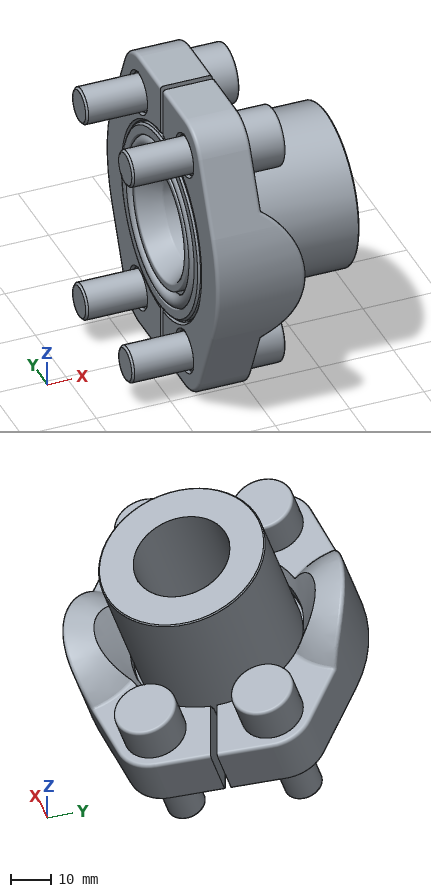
import cadquery as cq
import math


bolt_y = 15.1
bolt_z = 29.4

plate_thickness = 14.0
half_height = 40.0
half_width = 36.5
corner_radius = half_height - bolt_z
clamp_fillet = 1.0
split_gap = 1.7
dome_radius = 24.0
hole_diameter = 10.5
hole_chamfer = 0.6

pipe_diameter = 43.0
pipe_bore_diameter = 25.0
collar_diameter = 50.8
collar_front = -0.5
collar_back = 7.4
collar_chamfer = 0.6
collar_root_fillet = 0.8
pipe_end = 44.5
pipe_end_chamfer = 0.3
mouth_depth = 6.0
mouth_half_angle = 30.0
mouth_fillet = 0.6
bore_fillet = 0.8

seal_outer_diameter = 44.7
seal_section = 3.5
seal_protrusion = 0.5
groove_inner_diameter = 35.8
groove_edge_fillet = 0.2

pocket_diameter = 51.6
pocket_chamfer = 0.6
clamp_bore_diameter = 44.8
flare_angle = 27.5
flare_start = 10.8

shank_diameter = 9.8
shank_tip = -16.0
shank_chamfer = 0.6
head_diameter = 16.0
head_height = 10.0
head_fillet = 0.8


def disc(diameter, start, end):
    """Cylinder about the X axis between two X positions."""
    return cq.Workplane("YZ", origin=(start, 0, 0)).circle(diameter / 2).extrude(end - start)


def revolved(profile):
    """Turn a closed profile, drawn with X along the axis and Y as radius, about the X axis."""
    return profile.close().revolve(360, (0, 0, 0), (1, 0, 0))


def at_bolt_places(body):
    """Copies of a body at the four bolt positions."""
    return [body.translate((0, y, z)) for y in (-bolt_y, bolt_y) for z in (-bolt_z, bolt_z)]


def clamp_prism(depth):
    """Clamp outline extruded from the front face: side arcs joined to the corner arcs by tangent lines."""
    bolt_distance = math.hypot(bolt_y, bolt_z)
    normal = math.atan2(bolt_z, bolt_y) - math.acos((half_width - corner_radius) / bolt_distance)
    side_y = half_width * math.cos(normal)
    side_z = half_width * math.sin(normal)
    corner_y = bolt_y + corner_radius * math.cos(normal)
    corner_z = bolt_z + corner_radius * math.sin(normal)
    return (
        cq.Workplane("YZ")
        .moveTo(side_y, -side_z)
        .threePointArc((half_width, 0), (side_y, side_z))
        .lineTo(corner_y, corner_z)
        .radiusArc((bolt_y, half_height), -corner_radius)
        .lineTo(-bolt_y, half_height)
        .radiusArc((-corner_y, corner_z), -corner_radius)
        .lineTo(-side_y, side_z)
        .threePointArc((-half_width, 0), (-side_y, -side_z))
        .lineTo(-corner_y, -corner_z)
        .radiusArc((-bolt_y, -half_height), -corner_radius)
        .lineTo(bolt_y, -half_height)
        .radiusArc((corner_y, -corner_z), -corner_radius)
        .close()
        .extrude(depth)
    )


def domed_blank():
    """Plate with a spherical dome at each side, its edges and the dome roots rounded."""
    domes = cq.Workplane("XY").pushPoints([(0, half_width), (0, -half_width)]).sphere(dome_radius)
    domes = clamp_prism(dome_radius).intersect(domes)
    blank = clamp_prism(plate_thickness).union(domes)
    dome_roots = blank.faces("%SPHERE").edges(cq.selectors.RadiusNthSelector(0))
    blank = dome_roots.fillet(clamp_fillet)
    side_faces = blank.faces("not (|X or %SPHERE or %TORUS)")
    return side_faces.edges("not |X").fillet(clamp_fillet)


def clamp_opening():
    """Round opening: front pocket for the collar, bore round the pipe, and flare through the domes."""
    pocket_radius = pocket_diameter / 2
    bore_radius = clamp_bore_diameter / 2
    flare_growth = (dome_radius - flare_start) * math.tan(math.radians(flare_angle))
    return revolved(
        cq.Workplane("XY")
        .moveTo(0, 0)
        .lineTo(0, pocket_radius + pocket_chamfer)
        .lineTo(pocket_chamfer, pocket_radius)
        .lineTo(collar_back, pocket_radius)
        .lineTo(collar_back, bore_radius)
        .lineTo(flare_start, bore_radius)
        .lineTo(dome_radius, bore_radius + flare_growth)
        .lineTo(dome_radius, 0)
    )


def bolt_hole():
    """Through hole on the X axis, chamfered at the clamp's front face."""
    hole_radius = hole_diameter / 2
    return revolved(
        cq.Workplane("XY")
        .moveTo(0, 0)
        .lineTo(0, hole_radius + hole_chamfer)
        .lineTo(hole_chamfer, hole_radius)
        .lineTo(plate_thickness, hole_radius)
        .lineTo(plate_thickness, 0)
    )


def clamp_half(clamp, side):
    """The half of the clamp on the +Y side (side = 1) or the -Y side (side = -1) of the split."""
    width = 2 * half_width
    keep = cq.Workplane("XY").box(4 * dome_radius, width, 3 * half_height)
    return clamp.intersect(keep.translate((0, side * (width + split_gap) / 2, 0)))


def flanged_pipe():
    """Pipe with a collar at its front end, a seal groove in the collar and a rounded bore mouth."""
    pipe_radius = pipe_diameter / 2
    collar_radius = collar_diameter / 2
    bore_radius = pipe_bore_diameter / 2
    mouth_radius = bore_radius + mouth_depth * math.tan(math.radians(mouth_half_angle))
    mouth_end = collar_front + mouth_depth
    fillet_start = collar_back + collar_root_fillet
    body = revolved(
        cq.Workplane("XY")
        .moveTo(collar_front, mouth_radius)
        .lineTo(collar_front, collar_radius - collar_chamfer)
        .lineTo(collar_front + collar_chamfer, collar_radius)
        .lineTo(collar_back - collar_chamfer, collar_radius)
        .lineTo(collar_back, collar_radius - collar_chamfer)
        .lineTo(collar_back, pipe_radius + collar_root_fillet)
        .radiusArc((fillet_start, pipe_radius), collar_root_fillet)
        .lineTo(pipe_end - pipe_end_chamfer, pipe_radius)
        .lineTo(pipe_end, pipe_radius - pipe_end_chamfer)
        .lineTo(pipe_end, bore_radius)
        .lineTo(mouth_end, bore_radius)
    )
    body = body.edges(cq.selectors.NearestToPointSelector((mouth_end, 0, 0))).fillet(bore_fillet)
    body = body.faces("<X").edges(cq.selectors.RadiusNthSelector(0)).fillet(mouth_fillet)
    groove_floor = collar_front - seal_protrusion + seal_section
    groove = disc(seal_outer_diameter, collar_front, groove_floor)
    groove = groove.cut(disc(groove_inner_diameter, collar_front, groove_floor))
    body = body.cut(groove)
    groove_edges = cq.selectors.RadiusNthSelector(1) + cq.selectors.RadiusNthSelector(2)
    return body.faces("<X").edges(groove_edges).fillet(groove_edge_fillet)


def seal_ring():
    """Round-section ring that touches the floor and the outer wall of the groove."""
    centre_x = collar_front - seal_protrusion + seal_section / 2
    centre_radius = (seal_outer_diameter - seal_section) / 2
    section = cq.Workplane("XY").center(centre_x, centre_radius).circle(seal_section / 2)
    return section.revolve(360, (0, -centre_radius, 0), (1, -centre_radius, 0))


def bolt():
    """Socket head bolt on the X axis, its head seated on the back of the plate."""
    head = disc(head_diameter, plate_thickness, plate_thickness + head_height)
    shank = disc(shank_diameter, shank_tip, plate_thickness)
    head = head.faces(">X").edges().fillet(head_fillet)
    shank = shank.faces("<X").edges().chamfer(shank_chamfer)
    return shank.union(head)


clamp = domed_blank().cut(clamp_opening())
for hole in at_bolt_places(bolt_hole()):
    clamp = clamp.cut(hole)

clamp_halves = [clamp_half(clamp, side) for side in (1, -1)]
pipe = flanged_pipe()
seal = seal_ring()
bolts = at_bolt_places(bolt())

result = cq.Compound.makeCompound(
    [half.val() for half in clamp_halves] + [pipe.val(), seal.val()] + [item.val() for item in bolts]
)